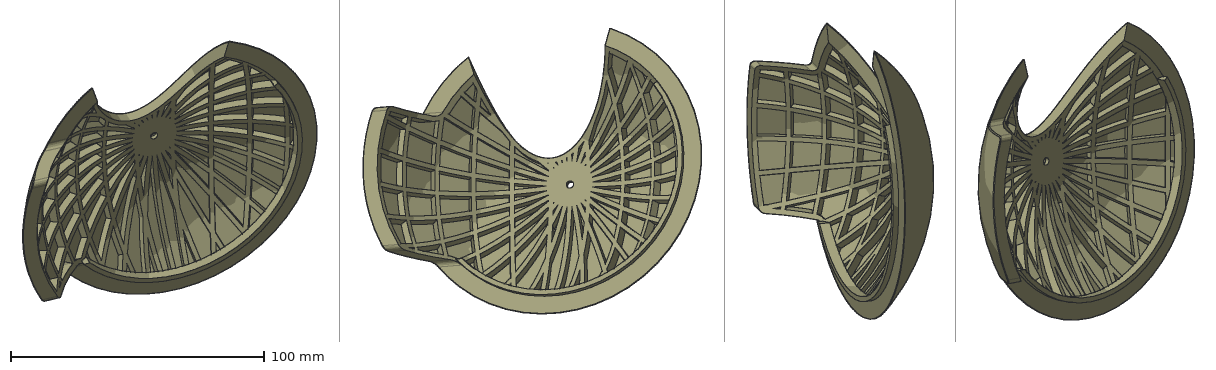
import cadquery as cq
import math


dome_radius = 79.0
total_depth = 48.7
rim_depth = 28.2
wall = 2.0
rib_top_radius = 73.4
edge_chamfer = 0.4
tab_end_x = total_depth - dome_radius
rim_x = rim_depth - dome_radius
skin_inner_radius = dome_radius - wall
far = 2 * dome_radius

tab_top_z = 24.9
tab_bottom_z = -35.0
tab_corner_radius = 2.0

notch_half_width = 36.1
notch_half_height = 102.5
notch_center_y = -6.1
notch_bottom_z = 11.2
notch_tilt = -1.1

lip_outer_radius = math.sqrt(rib_top_radius**2 - rim_x**2)
lip_inner_radius = lip_outer_radius - wall
lip_height = 2.3
lip_end_angle = 36.4

rib_thickness = 2.0
rib_pitch_angle = 12
first_meridian_gap = -4
last_meridian_gap = 5

hole_radius = 1.5
counterbore_radius = 2.8
counterbore_depth = 3.7
countersink_radius = 4.0


def sphere(radius):
    return cq.Workplane("XY").sphere(radius)


def side_outline():
    """Closed XZ outline of the -Y half: everything behind the rim, plus the tab."""
    return (
        cq.Workplane("XZ")
        .polyline(
            [
                (-far, -far),
                (rim_x, -far),
                (rim_x, tab_bottom_z),
                (tab_end_x, tab_bottom_z),
                (tab_end_x, tab_top_z),
                (rim_x, tab_top_z),
                (rim_x, far),
                (-far, far),
            ]
        )
        .close()
    )


def envelope(inset):
    """Space behind the rim and inside the tab, with its open edges moved inward by inset."""
    tab_half = side_outline().extrude(far)
    tab_edges = cq.selectors.BoxSelector(
        (rim_x - wall, -far, tab_bottom_z - wall), (tab_end_x + wall, far, tab_top_z + wall)
    )
    tab_half = tab_half.edges("|Y").edges(tab_edges).fillet(tab_corner_radius)
    if inset:
        tab_half = tab_half.faces("<Y").wires().toPending().offset2D(-inset).extrude(-far, combine=False)
    plain_half = cq.Workplane("XY").box(far, far, 2 * far, centered=(False, False, True))
    plain_half = plain_half.translate((rim_x - inset - far, 0, 0))
    return tab_half.union(plain_half)


def notch_cutter(margin):
    """Elliptic prism along X, widened all round by margin."""
    ellipse_plane = cq.Plane(
        origin=(-far, notch_center_y, notch_bottom_z + notch_half_height),
        xDir=(0, 1, 0),
        normal=(1, 0, 0),
    ).rotated((0, 0, notch_tilt))
    return (
        cq.Workplane(ellipse_plane)
        .ellipse(notch_half_width + margin, notch_half_height + margin)
        .extrude(far)
    )


def gaps_between_ribs(plane, gap_angles):
    """Wedges between flat ribs that fan out from the normal axis of the plane."""
    half_pitch = math.radians(rib_pitch_angle / 2)
    tip = rib_thickness / 2 / math.sin(half_pitch)
    spread = far * math.tan(half_pitch)
    wedge = (
        cq.Workplane(plane)
        .polyline([(tip, 0), (tip + far, -spread), (tip + far, spread)])
        .close()
        .extrude(far, both=True)
        .val()
    )
    axis_end = cq.Plane.named(plane).zDir.toTuple()
    wedges = [wedge.rotate((0, 0, 0), axis_end, angle) for angle in gap_angles]
    return cq.Workplane(cq.Compound.makeCompound(wedges))


def pockets():
    """Hollows between the ribs, from the rib tops out to the skin."""
    spoke_gaps = [i * rib_pitch_angle for i in range(360 // rib_pitch_angle)]
    meridian_gaps = [180 + i * rib_pitch_angle for i in range(first_meridian_gap, last_meridian_gap + 1)]
    hollow = sphere(skin_inner_radius).cut(sphere(rib_top_radius))
    hollow = hollow.intersect(envelope(wall)).cut(notch_cutter(wall))
    hollow = hollow.intersect(gaps_between_ribs("YZ", spoke_gaps))
    return hollow.intersect(gaps_between_ribs("XY", meridian_gaps))


def lip():
    """Ring on the rim, ending level with the tab's lower edge and at a radial face on the +Y side."""
    ring = (
        cq.Workplane("YZ", origin=(rim_x - wall, 0, 0))
        .circle(lip_outer_radius)
        .circle(lip_inner_radius)
        .extrude(wall + lip_height)
    )
    end = math.radians(lip_end_angle)
    kept = (
        cq.Workplane("YZ", origin=(rim_x - wall, 0, 0))
        .polyline(
            [
                (0, 0),
                (far * math.cos(end), far * math.sin(end)),
                (far, -far),
                (-far, -far),
                (-far, tab_bottom_z),
                (0, tab_bottom_z),
            ]
        )
        .close()
        .extrude(wall + lip_height)
    )
    return ring.intersect(kept)


def screw_hole():
    """Through hole, counterbore and 45-degree countersink, turned about the X axis."""
    crown_x = -dome_radius
    countersink_depth = countersink_radius - counterbore_radius
    return (
        cq.Workplane("XY")
        .polyline(
            [
                (crown_x, 0),
                (crown_x, countersink_radius),
                (crown_x + countersink_depth, counterbore_radius),
                (crown_x + counterbore_depth, counterbore_radius),
                (crown_x + counterbore_depth, hole_radius),
                (wall - rib_top_radius, hole_radius),
                (wall - rib_top_radius, 0),
            ]
        )
        .close()
        .revolve(360, (0, 0, 0), (1, 0, 0))
    )


shell = sphere(dome_radius).cut(sphere(rib_top_radius))
shell = shell.intersect(envelope(0)).cut(notch_cutter(0))
outer_face = max(shell.faces().vals(), key=lambda face: face.Area())
shell = shell.newObject(outer_face.outerWire().Edges()).chamfer(edge_chamfer)
result = shell.cut(pockets()).union(lip()).cut(screw_hole())